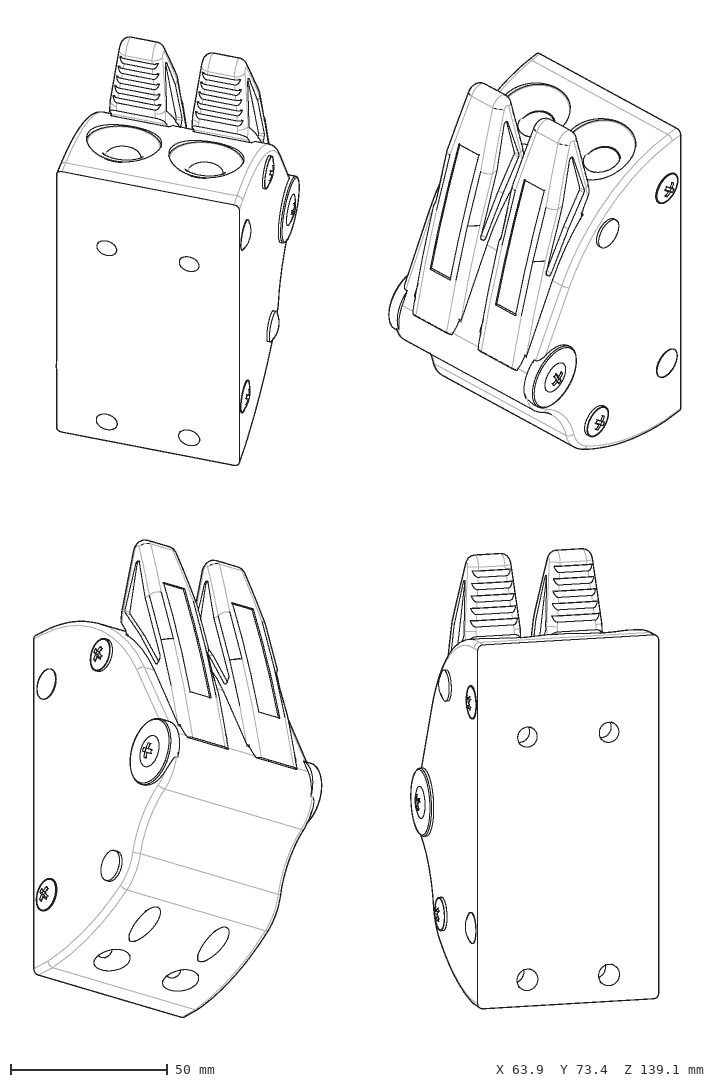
import cadquery as cq
import math


BODY_WIDTH = 60.5
BODY_HEIGHT = 118.5
DRAFT_ANGLE = 1.2
EDGE_RADIUS = 1.8
FLAT_TOP = 4.2
DOME_RADIUS = 58.7
DOME_CENTER = (FLAT_TOP, BODY_HEIGHT - DOME_RADIUS)
FLAT_BOTTOM = 7.5
BIG = 167.0
TOLERANCE = 0.01

NOSE_CENTER = (58.7, 53.5)
NOSE_RADIUS = 13.9
NOSE_END_ANGLE = -57.0
WAIST_END = (53.5, 23.8)
CHIN_END = (46.5, 13.6)

PIVOT_Y = 62.5
PIVOT_Z = 55.6
PIVOT = (PIVOT_Y, PIVOT_Z)

LEVER_SPACING = 27.3
LEVER_X = (-LEVER_SPACING / 2, LEVER_SPACING / 2)

MOUNT_HOLE_DIAMETER = 7.0
MOUNT_HOLE_Z = 8.6
BLIND_HOLE_DIAMETER = 6.5
BLIND_HOLE_Z = 87.6
BLIND_HOLE_DEPTH = 8.3

MOUTH_Y = 21.1
MOUTH_DIAMETER = 24.0
MOUTH_STEP = 0.4
MOUTH_STEP_DEPTH = 1.5
BORE_DIAMETER = 11.5
BORE_Y = 19.6

SLOT_WIDTH = 19.5
SLOT_FRONT_Y = 40.3
SLOT_BACK_Y = 68.5
SLOT_FLOOR_Z = 105.7
HUB_RADIUS = 7.7
HUB_GAP = 0.5
PIVOT_PIN_DIAMETER = 7.0

WASHER_DIAMETER = 21.8
WASHER_CHAMFER = 0.4
WASHER_FACE_X = 30.3
SCREW_RIM_DIAMETER = 10.7
SCREW_DOME_DIAMETER = 10.2
SCREW_TIP_X = 31.6
NUT_DIAMETER = 10.0
NUT_TIP_X = 31.93
PIVOT_SCREW_DIAMETER = 10.3
HEAD_ROOT_X = 26.5
CROSS_SPAN = 4.9
CROSS_ARM = 1.3
CROSS_DEPTH = 1.3
CROSS_TURN = 42.0
PIVOT_CROSS_TURN = 62.0
BOLTS = ((35.9, 98.6, 1), (6.8, 98.6, -1), (41.3, 23.2, -1), (6.8, 25.2, 1))

TOTAL_HEIGHT = 139.1
LEVER_WIDTH = 18.4
LEVER_TIP_WIDTH = 14.5
TAPER_START_Z = 115.5
TIP_Y = 42.8
TIP_RADIUS = 3.9
TIP_Z = TOTAL_HEIGHT - TIP_RADIUS
TIP_BACK_ANGLE = 23.0
TIP_FRONT_ANGLE = 170.0
TAIL = (71.8, 59.8)
BACK_MIDDLE = (59.3, 104.2)
HEEL = (35.2, 114.1)
ROOT = (39.5, 107.7)
LEVER_EDGE_RADIUS = 2.8

GROOVE_COUNT = 5
GROOVE_TOP_Z = 134.7
GROOVE_PITCH = 3.9
GROOVE_HEIGHT = 2.0
GROOVE_DEPTH = 0.7

WINDOW_WIDTH = 8.3
WINDOW_LOW_Z = 77.9
WINDOW_HIGH_Z = 121.0
WINDOW_DEPTH = 0.7

POCKET_OUTLINE = ((43.7, 133.3), (39.0, 114.3), (47.0, 103.8), (56.2, 89.6), (58.1, 92.1))
POCKET_CORNER_RADIUS = 1.0
POCKET_FLOOR_X = 7.2


def polar(center, radius, degrees):
    """Point at an angle on a circle."""
    angle = math.radians(degrees)
    return (center[0] + radius * math.cos(angle), center[1] + radius * math.sin(angle))


def tangent_bearing(large_center, large_radius, small_center, small_radius):
    """Angle, from both centres, of the points where an outer common tangent touches two circles."""
    dy = small_center[0] - large_center[0]
    dz = small_center[1] - large_center[1]
    spread = math.acos((large_radius - small_radius) / math.hypot(dy, dz))
    return math.degrees(math.atan2(dz, dy) + spread)


def bar(outline, width, x=0.0):
    """Extrude a closed YZ outline symmetrically about the plane at x."""
    return outline.extrude(width / 2, both=True).translate((x, 0, 0))


def cylinder_x(diameter, y, z, x_start, x_end):
    return (cq.Workplane("YZ", origin=(x_start, 0, 0)).center(y, z)
            .circle(diameter / 2).extrude(x_end - x_start))


def housing_blank():
    shoulder = tangent_bearing(DOME_CENTER, DOME_RADIUS, NOSE_CENTER, NOSE_RADIUS)
    outline = (
        cq.Workplane("YZ").moveTo(0, 0).lineTo(0, BODY_HEIGHT).lineTo(FLAT_TOP, BODY_HEIGHT)
        .threePointArc(polar(DOME_CENTER, DOME_RADIUS, (90 + shoulder) / 2),
                       polar(DOME_CENTER, DOME_RADIUS, shoulder))
        .lineTo(*polar(NOSE_CENTER, NOSE_RADIUS, shoulder))
        .tangentArcPoint(polar(NOSE_CENTER, NOSE_RADIUS, NOSE_END_ANGLE), relative=False)
        .tangentArcPoint(WAIST_END, relative=False)
        .tangentArcPoint(CHIN_END, relative=False)
        .tangentArcPoint((FLAT_BOTTOM, 0), relative=False)
        .close())
    lean = BIG * math.tan(math.radians(DRAFT_ANGLE))
    half = BODY_WIDTH / 2
    wedge = (cq.Workplane("XY", origin=(0, 0, -BIG / 2))
             .polyline([(-half, 0), (half, 0), (half - lean, BIG), (lean - half, BIG)])
             .close().extrude(2 * BIG))
    blank = bar(outline, BODY_WIDTH).intersect(wedge)
    for side in ("<X", ">X"):
        rim = blank.faces(side).edges().filter(lambda edge: edge.Center().y > TOLERANCE)
        blank = rim.fillet(EDGE_RADIUS)
    return blank


def hole_y(diameter, x, z, depth):
    """Cutter for a hole drilled from the mounting face."""
    return cq.Workplane("XZ").center(x, z).circle(diameter / 2).extrude(-depth)


def rope_way(x):
    """Stepped, bell-shaped mouth square to the dome, leading into a vertical bore."""
    tilt = math.degrees(math.asin((MOUTH_Y - DOME_CENTER[0]) / DOME_RADIUS))
    mouth_z = DOME_CENTER[1] + DOME_RADIUS * math.cos(math.radians(tilt))
    rim = MOUTH_DIAMETER / 2
    bell = rim - MOUTH_STEP
    throat = BORE_DIAMETER / 2
    curl = bell - throat
    throat_depth = MOUTH_STEP_DEPTH + curl
    arc_middle = polar((bell, -throat_depth), curl, 135)
    funnel = (cq.Workplane("XY")
              .moveTo(0, rim).lineTo(rim, rim).lineTo(rim, -MOUTH_STEP_DEPTH)
              .lineTo(bell, -MOUTH_STEP_DEPTH)
              .threePointArc(arc_middle, (throat, -throat_depth))
              .lineTo(0, -throat_depth).close()
              .revolve(360, (0, 0), (0, 1))
              .rotate((0, 0, 0), (1, 0, 0), 90 - tilt)
              .translate((x, MOUTH_Y, mouth_z)))
    bore = cq.Workplane("XY").center(x, BORE_Y).circle(throat).extrude(mouth_z)
    return funnel.union(bore)


def lever_slot(x):
    """Slot for one lever and its hub, open through the dome and the shoulder."""
    radius = HUB_RADIUS + HUB_GAP
    outline = cq.Workplane("YZ").polyline([
        (SLOT_FRONT_Y, TOTAL_HEIGHT), (SLOT_FRONT_Y, SLOT_FLOOR_Z),
        (PIVOT_Y - radius, PIVOT_Z), (SLOT_BACK_Y, PIVOT_Z), (SLOT_BACK_Y, TOTAL_HEIGHT)]).close()
    half = SLOT_WIDTH / 2
    return bar(outline, SLOT_WIDTH, x).union(
        cylinder_x(2 * radius, PIVOT_Y, PIVOT_Z, x - half, x + half))


def domed_head(diameter, y, z, tip_x):
    """Round head on the +X wall: a cylinder topped by a spherical cap."""
    base = diameter / 2
    crown = tip_x - WASHER_FACE_X
    sphere_radius = (base ** 2 + crown ** 2) / (2 * crown)
    rise = math.degrees(math.acos(base / sphere_radius))
    cap_middle = polar((tip_x - sphere_radius, 0), sphere_radius, (90 - rise) / 2)
    profile = (cq.Workplane("XY").moveTo(HEAD_ROOT_X, 0).lineTo(HEAD_ROOT_X, base)
               .lineTo(WASHER_FACE_X, base)
               .threePointArc(cap_middle, (tip_x, 0)).close())
    return profile.revolve(360, (0, 0), (1, 0)).translate((0, y, z))


def cross_recess(y, z, tip_x, turn):
    arms = cq.Workplane("YZ", origin=(tip_x - CROSS_DEPTH, y, z)).transformed(rotate=(0, 0, turn))
    cross = arms.rect(CROSS_SPAN, CROSS_ARM).extrude(CROSS_DEPTH)
    return cross.union(arms.rect(CROSS_ARM, CROSS_SPAN).extrude(CROSS_DEPTH))


def on_side(shape, side):
    return shape if side > 0 else shape.mirror("YZ")


def make_housing():
    housing = housing_blank()
    for side in (1, -1):
        washer = (cylinder_x(WASHER_DIAMETER, PIVOT_Y, PIVOT_Z, HEAD_ROOT_X, WASHER_FACE_X)
                  .faces(">X").chamfer(WASHER_CHAMFER))
        screw = domed_head(PIVOT_SCREW_DIAMETER, PIVOT_Y, PIVOT_Z, SCREW_TIP_X)
        recess = cross_recess(PIVOT_Y, PIVOT_Z, SCREW_TIP_X, PIVOT_CROSS_TURN)
        housing = housing.union(on_side(washer.union(screw), side)).cut(on_side(recess, side))
    for y, z, screw_side in BOLTS:
        rim = cylinder_x(SCREW_RIM_DIAMETER, y, z, HEAD_ROOT_X, WASHER_FACE_X)
        screw = domed_head(SCREW_DOME_DIAMETER, y, z, SCREW_TIP_X).union(rim)
        screw = screw.cut(cross_recess(y, z, SCREW_TIP_X, CROSS_TURN))
        nut = domed_head(NUT_DIAMETER, y, z, NUT_TIP_X)
        housing = housing.union(on_side(screw, screw_side)).union(on_side(nut, -screw_side))
    for x in LEVER_X:
        housing = (housing.cut(hole_y(MOUNT_HOLE_DIAMETER, x, MOUNT_HOLE_Z, BIG))
                   .cut(hole_y(BLIND_HOLE_DIAMETER, x, BLIND_HOLE_Z, BLIND_HOLE_DEPTH))
                   .cut(rope_way(x))
                   .cut(lever_slot(x)))
    pin = cylinder_x(PIVOT_PIN_DIAMETER, PIVOT_Y, PIVOT_Z, -HEAD_ROOT_X, HEAD_ROOT_X)
    return housing.union(pin)


TIP = (TIP_Y, TIP_Z)
TIP_BACK = polar(TIP, TIP_RADIUS, TIP_BACK_ANGLE)
TIP_FRONT = polar(TIP, TIP_RADIUS, TIP_FRONT_ANGLE)


def lever_blade():
    """Blade with tapered sides, rounded along the back, over the tip and down the front."""
    outline = (cq.Workplane("YZ").moveTo(*TAIL)
               .threePointArc(BACK_MIDDLE, TIP_BACK)
               .threePointArc((TIP_Y, TOTAL_HEIGHT), TIP_FRONT)
               .lineTo(*HEEL).lineTo(*ROOT)
               .lineTo(PIVOT_Y - HUB_RADIUS, PIVOT_Z).lineTo(*PIVOT).close())
    half = LEVER_WIDTH / 2
    tip_half = LEVER_TIP_WIDTH / 2
    slope = (half - tip_half) / (TIP_Z - TAPER_START_Z)
    top_half = tip_half - slope * TIP_RADIUS
    sides = (cq.Workplane("XZ").polyline([
        (-half, 0), (half, 0), (half, TAPER_START_Z), (top_half, TOTAL_HEIGHT),
        (-top_half, TOTAL_HEIGHT), (-half, TAPER_START_Z)]).close().extrude(-BIG))
    blade = bar(outline, LEVER_WIDTH).intersect(sides)

    def is_rounded(edge):
        """Side edges of the back, the tip and the front down to the heel."""
        center = edge.Center()
        crosswise = abs(edge.startPoint().z - edge.endPoint().z) < TOLERANCE
        on_back = center.y > PIVOT_Y and center.z > TAIL[1]
        return not crosswise and (on_back or center.z > HEEL[1])

    return blade.edges().filter(is_rounded).fillet(LEVER_EDGE_RADIUS)


def grip_grooves():
    """Saw-tooth grooves across the front of the blade."""
    lean = (TIP_FRONT[0] - HEEL[0]) / (TIP_FRONT[1] - HEEL[1])
    grooves = cq.Workplane("YZ")
    for i in range(GROOVE_COUNT):
        top = GROOVE_TOP_Z - i * GROOVE_PITCH
        bottom = top - GROOVE_HEIGHT
        face_top = HEEL[0] + lean * (top - HEEL[1])
        face_bottom = HEEL[0] + lean * (bottom - HEEL[1])
        grooves = grooves.union(bar(cq.Workplane("YZ").polyline([
            (face_top, top), (face_top + GROOVE_DEPTH, top), (face_bottom, bottom),
            (face_bottom - GROOVE_DEPTH, bottom), (face_bottom - GROOVE_DEPTH, top)]).close(), LEVER_WIDTH))
    return grooves


def back_window():
    """Shallow recess that follows the curved back of the blade."""

    def shifted(point, step):
        return (point[0] + step, point[1])

    strip = (cq.Workplane("YZ").moveTo(*shifted(TAIL, -WINDOW_DEPTH))
             .threePointArc(shifted(BACK_MIDDLE, -WINDOW_DEPTH), shifted(TIP_BACK, -WINDOW_DEPTH))
             .lineTo(*shifted(TIP_BACK, BIG)).lineTo(*shifted(TAIL, BIG)).close())
    band = (cq.Workplane("XY", origin=(0, 0, WINDOW_LOW_Z))
            .rect(BIG, 2 * BIG).extrude(WINDOW_HIGH_Z - WINDOW_LOW_Z))
    return bar(strip, WINDOW_WIDTH).intersect(band)


def side_pocket():
    """Pocket for the +X side of the blade."""
    return (cq.Workplane("YZ", origin=(POCKET_FLOOR_X, 0, 0))
            .polyline(POCKET_OUTLINE).close().extrude(LEVER_WIDTH / 2)
            .edges("|X").fillet(POCKET_CORNER_RADIUS))


def make_lever(x, housing):
    blade = lever_blade().cut(grip_grooves()).cut(back_window())
    for side in (1, -1):
        blade = blade.cut(on_side(side_pocket(), side))
    half = LEVER_WIDTH / 2
    hub = cylinder_x(2 * HUB_RADIUS, PIVOT_Y, PIVOT_Z, -half, half)
    return blade.union(hub).translate((x, 0, 0)).cut(housing)


housing = make_housing()
levers = [make_lever(x, housing) for x in LEVER_X]

result = cq.Compound.makeCompound([housing.val(), *[lever.val() for lever in levers]])